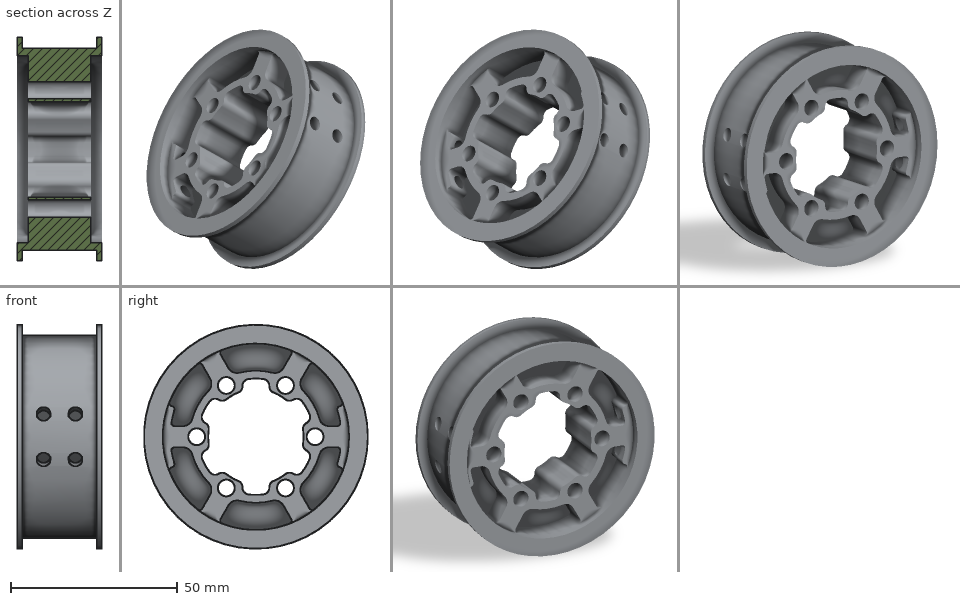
import cadquery as cq
import math

width = 25.4
flange_diameter = 67.3
flange_thickness = 1.55
drum_diameter = 61.0

rim_inner_diameter = 56.0
web_recess = 3.15
floor_thickness = 3.15
spoke_count = 6
spoke_width = 6.3
spoke_pitch = 360 / spoke_count

hub_diameter = 39.65
hub_fillet = 3.0
rim_fillet = 1.0

pad_inner_diameter = 51.4
pad_half_angle = 20.0
rim_hole_diameter = 4.2
rim_hole_angle = 13.0
rim_hole_spacing = 9.55

bore_diameter = 28.55
notch_diameter = 34.9
notch_width = 8.0
notch_fillet = 2.0

bolt_hole_diameter = 5.0
bolt_circle_diameter = 35.55

web_width = width - 2 * web_recess
pocket_depth = (web_width - floor_thickness) / 2
pocket_middle_radius = (hub_diameter + pad_inner_diameter) / 4


def axis_distance(edge):
    """Distance of the middle of an edge from the spool axis."""
    middle = edge.Center()
    return math.hypot(middle.y, middle.z)


def disc(diameter, start, length):
    """Cylinder along X that begins at X = start."""
    return cq.Workplane("YZ", origin=(start, 0, 0)).circle(diameter / 2).extrude(length)


def cross_bars(bar_width, start, length, first_angle):
    """Bars through the axis, one spoke pitch apart, each making two opposite arms."""
    bars = cq.Workplane("YZ")
    for i in range(spoke_count // 2):
        bar = (
            cq.Workplane("YZ", origin=(start, 0, 0))
            .rect(flange_diameter, bar_width)
            .extrude(length)
            .rotate((0, 0, 0), (1, 0, 0), first_angle + i * spoke_pitch)
        )
        bars = bars.union(bar)
    return bars


def make_rim():
    """Drum with a flange at each end."""
    flanged = disc(flange_diameter, -width / 2, width)
    groove_width = width - 2 * flange_thickness
    groove = disc(flange_diameter, -groove_width / 2, groove_width).cut(
        disc(drum_diameter, -groove_width / 2, groove_width)
    )
    return flanged.cut(groove)


def pad_wedges(start, length):
    """Two opposite wedges about the Y axis that span the pad angle."""
    reach = flange_diameter
    rise = reach * math.tan(math.radians(pad_half_angle))
    return (
        cq.Workplane("YZ", origin=(start, 0, 0))
        .polyline([(0, 0), (reach, -rise), (reach, rise)])
        .close()
        .polyline([(0, 0), (-reach, rise), (-reach, -rise)])
        .close()
        .extrude(length)
    )


def make_pockets(start):
    """The six pockets on one side of the floor."""
    pads = pad_wedges(start, pocket_depth).cut(disc(pad_inner_diameter, start, pocket_depth))
    pockets = (
        disc(rim_inner_diameter, start, pocket_depth)
        .cut(disc(hub_diameter, start, pocket_depth))
        .cut(cross_bars(spoke_width, start, pocket_depth, 0))
        .cut(pads)
    )
    corners = pockets.edges("|X").vals()
    hub_corners = [e for e in corners if axis_distance(e) < pocket_middle_radius]
    rim_corners = [e for e in corners if axis_distance(e) > pocket_middle_radius]
    pockets = pockets.newObject(hub_corners).fillet(hub_fillet)
    return pockets.newObject(rim_corners).fillet(rim_fillet)


def make_bore():
    """Bore with six notches and rounded corners."""
    notches = disc(notch_diameter, -width / 2, width).intersect(
        cross_bars(notch_width, -width / 2, width, spoke_pitch / 2)
    )
    bore = disc(bore_diameter, -width / 2, width).union(notches)
    corners = [e for e in bore.edges("|X").vals() if abs(e.Center().z) > notch_fillet]
    return bore.newObject(corners).fillet(notch_fillet)


def make_bolt_holes():
    """One through hole in the hub end of each spoke."""
    return (
        cq.Workplane("YZ", origin=(-width / 2, 0, 0))
        .polarArray(bolt_circle_diameter / 2, 0, 360, spoke_count)
        .circle(bolt_hole_diameter / 2)
        .extrude(width)
    )


def make_rim_holes():
    """Pairs of radial holes from the drum surface into the pockets on the Y sides."""
    length = flange_diameter / 2 - pocket_middle_radius
    holes = cq.Workplane("XZ")
    for side in (0, 180):
        for tilt in (-rim_hole_angle, rim_hole_angle):
            pair = (
                cq.Workplane("XZ", origin=(0, -pocket_middle_radius, 0))
                .pushPoints([(-rim_hole_spacing / 2, 0), (rim_hole_spacing / 2, 0)])
                .circle(rim_hole_diameter / 2)
                .extrude(length)
                .rotate((0, 0, 0), (1, 0, 0), side + tilt)
            )
            holes = holes.union(pair)
    return holes


body = make_rim()
for recess_start in (-width / 2, width / 2 - web_recess):
    body = body.cut(disc(rim_inner_diameter, recess_start, web_recess))
for pocket_start in (-web_width / 2, floor_thickness / 2):
    body = body.cut(make_pockets(pocket_start))

result = body.cut(make_bore()).cut(make_bolt_holes()).cut(make_rim_holes())